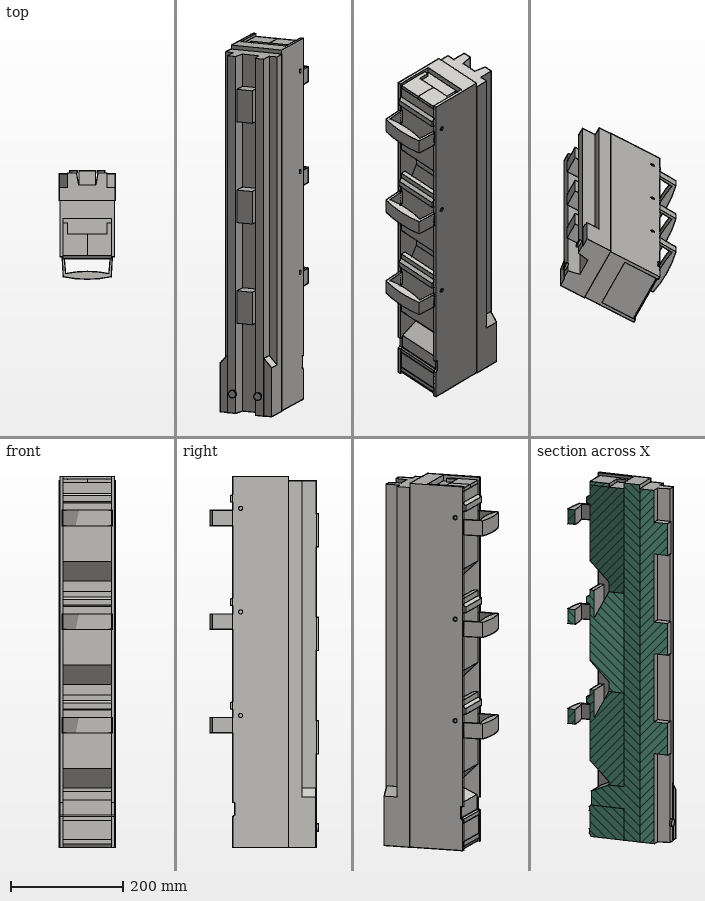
import cadquery as cq


height = 662.5
base_width = 100.0
base_depth = 50.0
base_top = 655.0
housing_width = 97.5
housing_depth = 100.0
base_back = housing_depth + base_depth
pole_count = 3
pole_pitch = 185.0

channel_back_width = 38.5
hook_width = 30.0
channel_depth = 22.0
hook_projection = 4.0
hook_height = 59.5
top_hook_top = 596.0
lobe_half_width = 35.0
rebate_depth = 26.0
rebate_foot = 90.0
rebate_slope_height = 16.0
lug_setback = 1.0
pin_diameter = 14.0
pin_offset = 24.5
pin_height = 36.0

pocket_half_width = 43.0
pocket_depth = 68.0
bar_top_back = 100.0
bar_top_front = 85.0
notch_top = 80.0
notch_depth = 4.0
bar_setback = 5.0
side_hole_diameter = 7.0
side_hole_y = 14.5
side_hole_depth = 3.0
top_side_hole = 605.5

panel_setback = 2.5
throat_depth = 39.0
lid_thickness = 6.0
lid_top = 658.0
lip_projection = 4.0
lip_slope_top = 632.0
lip_top = 628.0
lip_bottom = 617.5
lip_root = 615.5
panel_bottom = 511.0
throat_top = 476.0
top_edge_above_lip = 14.0
carrier_top = lip_top + top_edge_above_lip
shelf_thickness = 8.5
groove_rise_per_depth = 1.8

handle_top = 602.0
handle_height = 28.0
handle_reach = 40.5
handle_root_half_width = 45.0
handle_tip_half_width = 43.0
handle_inner_root_half_width = 41.0
handle_inner_tip_half_width = 38.5
grip_outer_end = 36.0
grip_inner_end = 30.0
grip_inner_middle = 26.0

lid_depth = 60.0
lid_recess_front = 40.5
lid_recess_half_width = 35.0

cover_top_back = 58.0
cover_top_front = 55.5
cover_setback = 1.0
label_top = 48.5
label_bottom = 14.5
label_depth = 1.0
foot_chamfer_height = 6.5
foot_chamfer_depth = 3.0


def box(x_min, x_max, y_min, y_max, z_min, z_max):
    size = (x_max - x_min, y_max - y_min, z_max - z_min)
    return cq.Workplane("XY").box(*size, centered=False).translate((x_min, y_min, z_min))


def side_prism(points, x_min, x_max):
    """Extrude an outline of (y, z) points from x_min to x_max."""
    outline = cq.Workplane("YZ", origin=(x_min, 0, 0)).polyline(points).close()
    return outline.extrude(x_max - x_min)


def make_base():
    side = base_width / 2
    base = box(-side, side, housing_depth, base_back, 0, base_top)

    floor_y = base_back - channel_depth
    channel = (
        cq.Workplane("XY")
        .polyline([
            (-hook_width / 2, floor_y),
            (hook_width / 2, floor_y),
            (channel_back_width / 2, base_back),
            (-channel_back_width / 2, base_back),
        ])
        .close()
        .extrude(base_top)
    )
    base = base.cut(channel)

    for sign in (-1, 1):
        rebate = (
            cq.Workplane("XZ", origin=(0, base_back, 0))
            .polyline([
                (sign * side, rebate_foot),
                (sign * lobe_half_width, rebate_foot + rebate_slope_height),
                (sign * lobe_half_width, base_top),
                (sign * side, base_top),
            ])
            .close()
            .extrude(rebate_depth)
        )
        lug_trim = box(lobe_half_width, side, base_back - lug_setback, base_back, 0, base_top)
        if sign < 0:
            lug_trim = lug_trim.mirror("YZ")
        base = base.cut(rebate).cut(lug_trim)

    hook_back = base_back + hook_projection
    for pole in range(pole_count):
        hook_top = top_hook_top - pole * pole_pitch
        hook = box(-hook_width / 2, hook_width / 2, floor_y, hook_back, hook_top - hook_height, hook_top)
        base = base.union(hook)

    pins = (
        cq.Workplane("XZ", origin=(0, base_back, 0))
        .pushPoints([(-pin_offset, pin_height), (pin_offset, pin_height)])
        .circle(pin_diameter / 2)
        .extrude(-hook_projection)
    )
    return base.union(pins)


def make_housing():
    side = housing_width / 2
    housing = box(-side, side, 0, housing_depth, 0, height)
    housing = housing.cut(box(-pocket_half_width, pocket_half_width, 0, pocket_depth, 0, height))

    bar = side_prism(
        [
            (bar_setback, cover_top_back),
            (bar_setback, bar_top_front),
            (throat_depth, bar_top_back),
            (pocket_depth, bar_top_back),
            (pocket_depth, cover_top_back),
        ],
        -pocket_half_width,
        pocket_half_width,
    )
    housing = housing.union(bar)

    notch = side_prism(
        [(0, cover_top_front), (notch_depth, cover_top_back), (notch_depth, notch_top), (0, notch_top)],
        -side,
        side,
    )
    housing = housing.cut(notch)

    hole_points = [(side_hole_y, top_side_hole - pole * pole_pitch) for pole in range(pole_count)]
    left_holes = (
        cq.Workplane("YZ", origin=(-side, 0, 0))
        .pushPoints(hole_points)
        .circle(side_hole_diameter / 2)
        .extrude(side_hole_depth)
    )
    return housing.cut(left_holes).cut(left_holes.mirror("YZ"))


def make_handle():
    """Bow handle of the topmost carrier, with a lens-shaped grip."""
    outer = (
        cq.Workplane("XY")
        .moveTo(-pocket_half_width, panel_setback)
        .lineTo(-pocket_half_width, 0)
        .lineTo(-handle_root_half_width, 0)
        .lineTo(-handle_tip_half_width, -grip_outer_end)
        .threePointArc((0, -handle_reach), (handle_tip_half_width, -grip_outer_end))
        .lineTo(handle_root_half_width, 0)
        .lineTo(pocket_half_width, 0)
        .lineTo(pocket_half_width, panel_setback)
        .close()
        .extrude(handle_height)
    )
    opening = (
        cq.Workplane("XY")
        .moveTo(-handle_inner_root_half_width, panel_setback)
        .lineTo(-handle_inner_tip_half_width, -grip_inner_end)
        .threePointArc((0, -grip_inner_middle), (handle_inner_tip_half_width, -grip_inner_end))
        .lineTo(handle_inner_root_half_width, panel_setback)
        .close()
        .extrude(handle_height)
    )
    return outer.cut(opening).translate((0, 0, handle_top - handle_height))


def make_carrier(pole):
    """Fuse carrier number `pole`, counted from the top."""
    is_top = pole == 0
    is_lowest = pole == pole_count - 1
    drop = pole * pole_pitch
    top = lid_top - lid_thickness if is_top else carrier_top
    bottom = bar_top_back + drop if is_lowest else carrier_top - pole_pitch

    carrier = side_prism(
        [
            (panel_setback, top),
            (panel_setback, lip_slope_top),
            (-lip_projection, lip_top),
            (-lip_projection, lip_bottom),
            (panel_setback, lip_root),
            (panel_setback, panel_bottom),
            (throat_depth, throat_top),
            (throat_depth, bottom),
            (pocket_depth, bottom),
            (pocket_depth, top),
        ],
        -pocket_half_width,
        pocket_half_width,
    )

    if not is_top:
        shelf_back = panel_setback + shelf_thickness
        groove_depth = (throat_depth - shelf_back) * groove_rise_per_depth
        groove = side_prism(
            [(shelf_back, top), (throat_depth, top), (shelf_back, top - groove_depth)],
            -pocket_half_width,
            pocket_half_width,
        )
        carrier = carrier.cut(groove)

    return carrier.union(make_handle()).translate((0, 0, -drop))


def make_lid(sign):
    """Half of the top lid, on the side of x given by the sign."""
    lid_bottom = lid_top - lid_thickness
    lid = box(0, pocket_half_width, panel_setback, lid_depth, lid_bottom, lid_top)
    lid = lid.cut(box(0, lid_recess_half_width, lid_recess_front, lid_depth, lid_bottom, lid_top))
    return lid if sign > 0 else lid.mirror("YZ")


def make_foot_cover():
    label_y = cover_setback + label_depth
    return side_prism(
        [
            (notch_depth, cover_top_back),
            (cover_setback, cover_top_front),
            (cover_setback, label_top),
            (label_y, label_top),
            (label_y, label_bottom),
            (cover_setback, label_bottom),
            (cover_setback, foot_chamfer_height),
            (cover_setback + foot_chamfer_depth, 0),
            (pocket_depth, 0),
            (pocket_depth, cover_top_back),
        ],
        -pocket_half_width,
        pocket_half_width,
    )


base = make_base()
housing = make_housing()
carriers = [make_carrier(pole) for pole in range(pole_count)]
lids = [make_lid(sign) for sign in (-1, 1)]
foot_cover = make_foot_cover()

result = cq.Compound.makeCompound([
    base.val(),
    housing.val(),
    *[carrier.val() for carrier in carriers],
    *[lid.val() for lid in lids],
    foot_cover.val(),
])